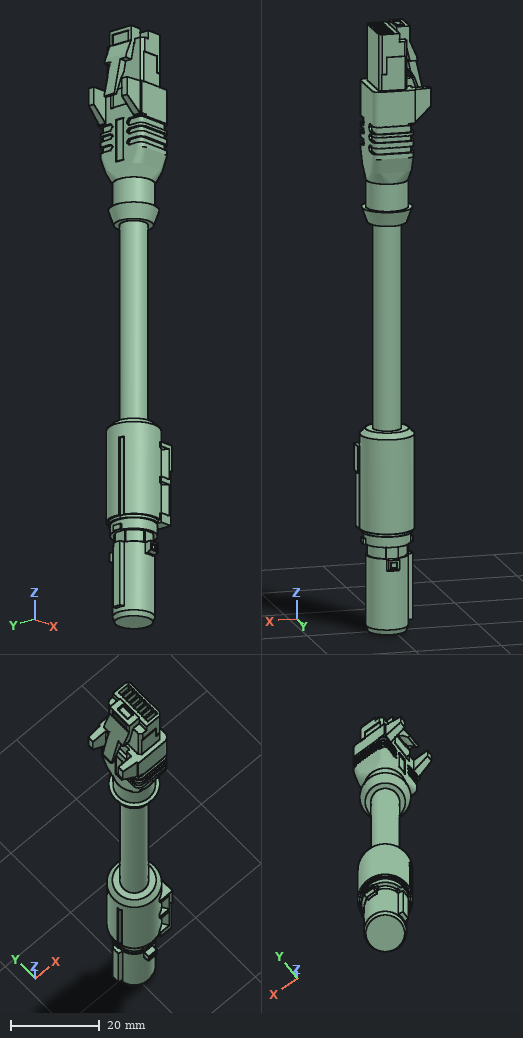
import cadquery as cq

TOTAL_HEIGHT = 141.5

BARREL_RADIUS = 4.8
BARREL_TIP_RADIUS = 4.4
BARREL_BEVEL_HEIGHT = 1.3
BARREL_TOP = 17.8
NECK_RADIUS = 4.5
NECK_TOP = 20.7
RING_RADIUS = 5.4
RING_TOP = 23.2
LIP_RADIUS = 5.8
SLEEVE_RADIUS = 6.2
SLEEVE_BOTTOM = 23.9
SLEEVE_TOP = 47.2
SLEEVE_BEVEL = 1.3
LABEL_TOP = 42.6

CABLE_RADIUS = 3.3
COLLAR_BOTTOM = 95.3
COLLAR_BOTTOM_RADIUS = 4.5
COLLAR_TOP = 98.9
COLLAR_TOP_RADIUS = 5.8

BOOT_RADIUS = 4.8
BOOT_WIDTH = 13.3
BOOT_CORNER = 1.5
BOOT_NECK_TOP = 105.2
BOOT_BLOCK_BOTTOM = 111.6
BOOT_TOP = 127.3

PLUG_DEPTH = 6.6
PLUG_WIDTH = 11.3
PLUG_TOP = 140.5
PLUG_CHAMFER = 0.7
NOSE_WIDTH = 6.5
NOSE_BACK = -1.4
LATCH_ROOT_X = -4.5
LATCH_WIDE_BOTTOM = 133.2
TAB_WIDTH = 3.1

OVERLAP = 0.7


def box(x0, x1, y0, y1, z0, z1):
    """Axis-aligned block between two opposite corners."""
    return cq.Workplane("XY").box(x1 - x0, y1 - y0, z1 - z0, centered=False).translate((x0, y0, z0))


def centred_box(x0, x1, width, z0, z1):
    """Block that is symmetric about the XZ plane."""
    return box(x0, x1, -width / 2, width / 2, z0, z1)


def side_profile(points, width):
    """Outline in the XZ plane, extruded symmetrically along Y."""
    return cq.Workplane("XZ").polyline(points).close().extrude(width / 2, both=True)


def turned_body():
    """Connector, cable and collar revolved in one piece."""
    profile = [
        (0, 0),
        (BARREL_TIP_RADIUS, 0),
        (BARREL_RADIUS, BARREL_BEVEL_HEIGHT),
        (BARREL_RADIUS, BARREL_TOP),
        (NECK_RADIUS, BARREL_TOP),
        (NECK_RADIUS, NECK_TOP),
        (RING_RADIUS, NECK_TOP),
        (RING_RADIUS, RING_TOP),
        (LIP_RADIUS, RING_TOP),
        (LIP_RADIUS, SLEEVE_BOTTOM),
        (SLEEVE_RADIUS, SLEEVE_BOTTOM),
        (SLEEVE_RADIUS, SLEEVE_TOP - SLEEVE_BEVEL),
        (SLEEVE_RADIUS - SLEEVE_BEVEL, SLEEVE_TOP),
        (CABLE_RADIUS, SLEEVE_TOP),
        (CABLE_RADIUS, COLLAR_BOTTOM),
        (COLLAR_BOTTOM_RADIUS, COLLAR_BOTTOM),
        (COLLAR_TOP_RADIUS, COLLAR_TOP),
        (0, COLLAR_TOP),
    ]
    return cq.Workplane("XZ").polyline(profile).close().revolve(360, (0, 0), (0, 1))


def barrel_key():
    """Tapered key along the -X side of the barrel, narrowing outwards."""
    outer_x = -5.8
    outer_half = 1.0
    base_half = 1.4
    bottom = 2.4
    base_x = -BARREL_RADIUS + OVERLAP
    section = [(base_x, -base_half), (outer_x, -outer_half), (outer_x, outer_half), (base_x, base_half)]
    return cq.Workplane("XY", origin=(0, 0, bottom)).polyline(section).close().extrude(BARREL_TOP - bottom)


def barrel_lugs():
    """Latching lugs on the +Y and -Y sides of the barrel, each with a pocket in its face."""
    reach = 6.2
    half = 1.3
    bottom = 15.1
    foot = 0.5
    pocket_half = 0.7
    pocket_bottom = 16.0
    pocket_depth = 0.4
    root = BARREL_RADIUS - OVERLAP
    outline = [
        (root, bottom), (BARREL_RADIUS + foot, bottom), (reach, bottom + foot),
        (reach, BARREL_TOP), (root, BARREL_TOP),
    ]
    lug = cq.Workplane("YZ").polyline(outline).close().extrude(half, both=True)
    pocket = box(-pocket_half, pocket_half, reach - pocket_depth, reach, pocket_bottom, BARREL_TOP - foot)
    lug = lug.cut(pocket)
    return lug.union(lug.mirror("XZ"))


def neck_keys():
    """Shallow pads around the neck on the -X, +Y and -Y sides."""
    reach = 4.7
    half = 1.4
    pad = box(NECK_RADIUS - OVERLAP, reach, -half, half, BARREL_TOP, NECK_TOP)
    pads = cq.Workplane("XY")
    for angle in (90, 180, 270):
        pads = pads.union(pad.rotate((0, 0, 0), (0, 0, 1), angle))
    return pads


def ring_bumps():
    """Detent bumps on the +X and -X sides of the ring."""
    reach = 5.8
    width = 2.1
    top = 21.9
    return centred_box(-reach, reach, width, NECK_TOP, top)


def sleeve_slot():
    """Shallow slot along the -X side of the sleeve, open at its lower end."""
    depth = 0.5
    first_y = -2.1
    last_y = -1.0
    return box(-SLEEVE_RADIUS, depth - SLEEVE_RADIUS, first_y, last_y, RING_TOP, LABEL_TOP)


def label_holder():
    """Slant-backed plate beside the sleeve at the +X, -Y corner, tied to it by three arms."""
    outer_x = 6.1
    inner_x = 5.1
    slant_x = 4.0
    slant_y = -4.5
    arm_x = 2.4
    face_y = -6.2
    root_y = -2.7
    arm_root_y = -3.5
    step_z = 36.4
    step_depth = 0.4
    section = [
        (slant_x, root_y), (slant_x, slant_y), (inner_x, face_y), (outer_x, face_y), (outer_x, root_y),
    ]
    plate = cq.Workplane("XY", origin=(0, 0, RING_TOP)).polyline(section).close()
    plate = plate.extrude(LABEL_TOP - RING_TOP)
    plate = plate.cut(box(outer_x - step_depth, outer_x, face_y, root_y, RING_TOP, step_z))
    for bottom, top in ((RING_TOP, 25.5), (33.0, 34.2), (41.5, LABEL_TOP)):
        plate = plate.union(box(arm_x, inner_x, face_y, arm_root_y, bottom, top))
    return plate


def boot_body():
    """Round neck flaring into a block, rounded at its upright corners."""
    neck = cq.Workplane("XY", origin=(0, 0, COLLAR_TOP)).circle(BOOT_RADIUS)
    neck = neck.extrude(BOOT_NECK_TOP - COLLAR_TOP)
    flare_middle = 108.0
    flare_width = 11.0
    flare_corner = 2.1
    almost_round = 0.99 * BOOT_RADIUS
    levels = [
        (BOOT_NECK_TOP, 2 * BOOT_RADIUS, almost_round),
        (flare_middle, flare_width, flare_corner),
        (BOOT_BLOCK_BOTTOM, BOOT_WIDTH, BOOT_CORNER),
    ]
    sections = []
    for z, width, corner in levels:
        outline = cq.Sketch().rect(2 * BOOT_RADIUS, width).vertices().fillet(corner)
        sections.append(outline.moved(cq.Location(cq.Vector(0, 0, z))))
    flare = cq.Workplane("XY").placeSketch(*sections).loft(ruled=True)
    block = centred_box(-BOOT_RADIUS, BOOT_RADIUS, BOOT_WIDTH, BOOT_BLOCK_BOTTOM, BOOT_TOP)
    block = block.edges("|Z").fillet(BOOT_CORNER)
    return neck.union(flare).union(block)


def grip_grooves():
    """Three grooves around each side of the boot, ending in points short of the middle."""
    tip_y = 2.1
    shoulder_y = 2.8
    outer_y = BOOT_WIDTH / 2
    depth = 0.5
    core = centred_box(depth - BOOT_RADIUS, BOOT_RADIUS - depth, BOOT_WIDTH - 2 * depth, COLLAR_TOP, BOOT_TOP)
    core = core.edges("|Z").fillet(BOOT_CORNER - depth)
    grooves = cq.Workplane("XY")
    for bottom, top in ((112.7, 114.2), (115.4, 116.7), (117.4, 119.1)):
        outline = [
            (tip_y, (bottom + top) / 2), (shoulder_y, bottom), (outer_y, bottom),
            (outer_y, top), (shoulder_y, top),
        ]
        groove = cq.Workplane("YZ").polyline(outline).close().extrude(BOOT_RADIUS, both=True)
        grooves = grooves.union(groove).union(groove.mirror("XZ"))
    return grooves.cut(core)


def boot_face_recesses():
    """Pocket behind the latch tab and the narrow bar recess below it."""
    pocket_depth = 0.8
    pocket_width = 5.4
    pocket_bottom = 122.8
    bar_depth = 0.3
    bar_width = 2.3
    bar_bottom = 109.6
    bar_top = 119.7
    pocket = centred_box(-BOOT_RADIUS, pocket_depth - BOOT_RADIUS, pocket_width, pocket_bottom, BOOT_TOP)
    bar = centred_box(-BOOT_RADIUS, bar_depth - BOOT_RADIUS, bar_width, bar_bottom, bar_top)
    return pocket.union(bar)


def boot_wings():
    """Pair of guards that flank the latch tab on the -X side."""
    tip_x = -8.8
    root_x = -2.5
    inner_y = 4.2
    tip_y = 5.8
    straight_bottom = 123.0
    slope_bottom = 119.5
    outer_y = 6.2
    plan = [
        (root_x, inner_y), (tip_x, inner_y), (tip_x, tip_y),
        (-BOOT_RADIUS, outer_y), (-BOOT_RADIUS, BOOT_WIDTH / 2), (root_x, BOOT_WIDTH / 2),
    ]
    wing = cq.Workplane("XY", origin=(0, 0, slope_bottom)).polyline(plan).close()
    wing = wing.extrude(BOOT_TOP - slope_bottom)
    side = [
        (root_x, slope_bottom), (-BOOT_RADIUS, slope_bottom), (tip_x, straight_bottom),
        (tip_x, BOOT_TOP), (root_x, BOOT_TOP),
    ]
    wing = wing.intersect(side_profile(side, BOOT_WIDTH))
    return wing.union(wing.mirror("XZ"))


def plug_body():
    """Plug block with stepped side recesses, contact slots and notched upper corners."""
    half_depth = PLUG_DEPTH / 2
    half_width = PLUG_WIDTH / 2
    plug = centred_box(-half_depth, half_depth, PLUG_WIDTH, BOOT_TOP - OVERLAP, PLUG_TOP)
    plug = plug.edges("|Z").chamfer(PLUG_CHAMFER)

    shell_step = 0.1
    front_edge = 131.1
    rear_edge = 135.1
    edge_step_x = 1.5
    recess = [
        (-half_depth, BOOT_TOP), (half_depth, BOOT_TOP), (half_depth, front_edge),
        (edge_step_x, front_edge), (edge_step_x, rear_edge), (-half_depth, rear_edge),
    ]
    sides = side_profile(recess, PLUG_WIDTH)
    sides = sides.cut(centred_box(-half_depth, half_depth, PLUG_WIDTH - 2 * shell_step, BOOT_TOP, PLUG_TOP))
    plug = plug.cut(sides)

    notch_bottom = 138.5
    for y0, y1 in ((-half_width, -NOSE_WIDTH / 2), (NOSE_WIDTH / 2, half_width)):
        plug = plug.cut(box(-half_depth, NOSE_BACK, y0, y1, notch_bottom, PLUG_TOP))

    contact_count = 8
    contact_pitch = 1.3
    slot_width = 0.8
    slot_floor = 134.4
    slot_back = -0.3
    slot_front = 2.7
    for index in range(contact_count):
        y = (index - (contact_count - 1) / 2) * contact_pitch
        slot = centred_box(slot_back, slot_front, slot_width, slot_floor, PLUG_TOP)
        plug = plug.cut(slot.translate((0, y, 0)))
    return plug


def latch():
    """Nose at the plug tip and the spring latch that leans out towards the boot."""
    nose_bottom = 137.5
    well_back = -3.5
    well_front = -1.8
    well_width = 3.4
    well_floor = 140.0
    tab_x = -8.3
    tab_bottom = 124.5
    face_depth = 0.3
    face_width = 4.8
    nose = centred_box(LATCH_ROOT_X, NOSE_BACK, NOSE_WIDTH, nose_bottom, TOTAL_HEIGHT)
    well = centred_box(well_back, well_front, well_width, well_floor, TOTAL_HEIGHT)
    nose = nose.cut(well)
    face = centred_box(LATCH_ROOT_X, LATCH_ROOT_X + face_depth, face_width, nose_bottom, PLUG_TOP)
    nose = nose.cut(face)
    outline = [
        (LATCH_ROOT_X, 137.9), (-6.1, 134.4), (tab_x, tab_bottom), (-7.6, tab_bottom),
        (-6.1, 128.7), (-5.1, 130.4), (-4.4, 133.7), (-3.4, 137.9),
    ]
    arm = side_profile(outline, NOSE_WIDTH)
    beside_tab = centred_box(tab_x, 0, NOSE_WIDTH, tab_bottom, LATCH_WIDE_BOTTOM)
    arm = arm.cut(beside_tab.cut(centred_box(tab_x, 0, TAB_WIDTH, tab_bottom, LATCH_WIDE_BOTTOM)))
    return nose.union(arm)


result = turned_body().union(barrel_key()).union(barrel_lugs()).union(neck_keys()).union(ring_bumps())
result = result.cut(sleeve_slot()).union(label_holder())
boot = boot_body().cut(grip_grooves()).cut(boot_face_recesses()).union(boot_wings())
result = result.union(boot).union(plug_body()).union(latch())